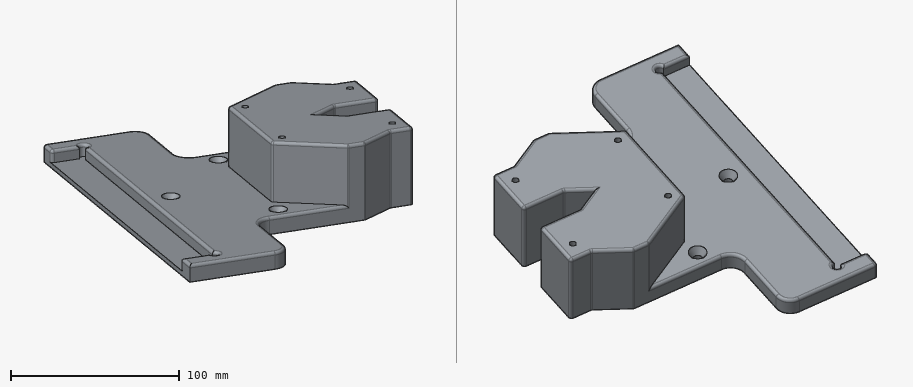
import cadquery as cq
import math

width = 220.0
length = 173.0
height = 49.0
base_thickness = 11.0
edge_radius = 2.0

bar_length = 65.0
bar_corner_radius = 10.0
neck_half_width = 55.5

side_slope = math.tan(math.radians(60))
block_front = 86.0
block_front_corner = 125.6
block_rear_corner = 136.5
tail_half_width = 43.0

notch_half_width = 9.0
notch_straight_end = 144.5

step_half_width = 98.0
step_depth = 21.0
step_floor = 3.0
relief_diameter = 5.3

pin_diameter = 4.0
pin_centers = [(31.7, 164.1), (27.7, 94.8)]
screw_diameter = 5.3
countersink_diameter = 11.0
countersink_depth = 5.0
side_screw_x = 44.9
side_screw_y = 85.0
front_screw_y = 35.0


def mirrored(points, middle=()):
    """Complete a right-hand half outline with its mirror image, past any points on the symmetry plane."""
    return points + list(middle) + [(-x, y) for x, y in reversed(points)]


def make_base():
    half_width = width / 2
    neck_end = block_front_corner + edge_radius
    outline = mirrored([
        (half_width, 0),
        (half_width, bar_length),
        (neck_half_width, bar_length),
        (neck_half_width, neck_end),
    ])
    base = cq.Workplane("XY").polyline(outline).close().extrude(base_thickness)
    bar_rear = cq.selectors.BoxSelector(
        (-width, bar_length - edge_radius, 0), (width, bar_length + edge_radius, base_thickness)
    )
    base = base.edges("|Z").edges(bar_rear).fillet(bar_corner_radius)

    step = (
        cq.Workplane("XY", origin=(0, 0, step_floor))
        .rect(2 * step_half_width, 2 * step_depth)
        .extrude(base_thickness)
    )
    reliefs = (
        cq.Workplane("XY", origin=(0, 0, step_floor))
        .pushPoints([(-step_half_width, step_depth), (step_half_width, step_depth)])
        .circle(relief_diameter / 2)
        .extrude(base_thickness)
    )
    base = base.cut(step).cut(reliefs)

    left_post = cq.selectors.BoxSelector(
        (-width, -edge_radius, 0), (0, edge_radius, base_thickness)
    )
    base = base.edges("|Z").edges(left_post).fillet(edge_radius)
    return base.faces(">Z").edges().fillet(edge_radius)


def make_block():
    front_half_width = neck_half_width - (block_front_corner - block_front) / side_slope
    tail_start = block_rear_corner + (neck_half_width - tail_half_width) * side_slope
    notch_tip = notch_straight_end - notch_half_width * side_slope
    half_outline = [
        (front_half_width, block_front),
        (neck_half_width, block_front_corner),
        (neck_half_width, block_rear_corner),
        (tail_half_width, tail_start),
        (tail_half_width, length),
        (notch_half_width, length),
        (notch_half_width, notch_straight_end),
    ]
    outline = mirrored(half_outline, [(0, notch_tip)])

    block = cq.Workplane("XY").polyline(outline).close().extrude(height)
    notch_tip_edge = cq.selectors.BoxSelector(
        (-edge_radius, notch_tip - edge_radius, 0), (edge_radius, notch_tip + edge_radius, height)
    )
    block = block.edges(cq.StringSyntaxSelector("|Z") - notch_tip_edge).fillet(edge_radius)
    return block.faces(">Z").edges().fillet(edge_radius)


def make_pin_holes():
    centers = [(side * x, y) for x, y in pin_centers for side in (-1, 1)]
    return cq.Workplane("XY").pushPoints(centers).circle(pin_diameter / 2).extrude(height)


def make_screw_hole(x, y):
    cone_bottom = base_thickness - countersink_depth
    profile = [
        (0, 0),
        (screw_diameter / 2, 0),
        (screw_diameter / 2, cone_bottom),
        (countersink_diameter / 2, base_thickness),
        (0, base_thickness),
    ]
    hole = cq.Workplane("XZ").polyline(profile).close().revolve(360, (0, 0), (0, 1))
    return hole.translate((x, y, 0))


result = make_base().union(make_block()).cut(make_pin_holes())
for x, y in [(-side_screw_x, side_screw_y), (side_screw_x, side_screw_y), (0, front_screw_y)]:
    result = result.cut(make_screw_hole(x, y))